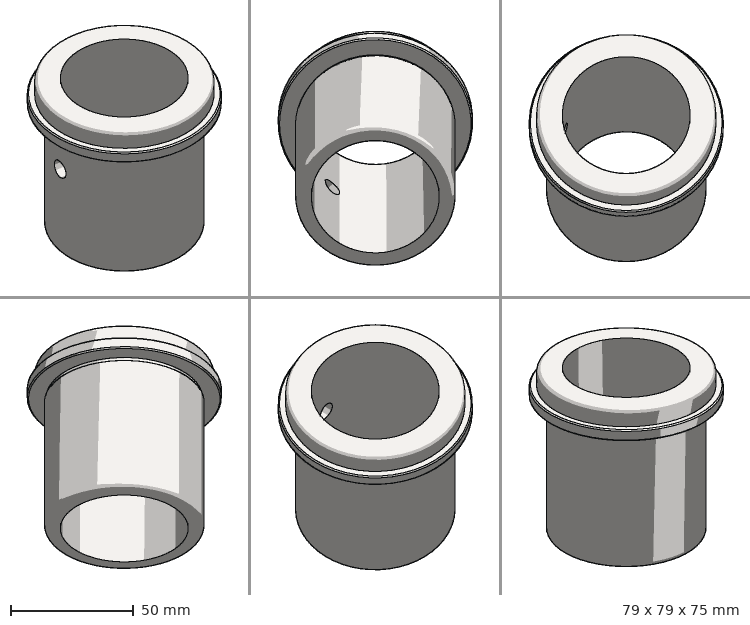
import cadquery as cq

flange_diameter = 79.0
total_height = 75.0
body_diameter = 65.0
head_diameter = 73.0
bore_diameter = 52.0

head_height = 8.0
flange_thickness = 5.1
flange_top = total_height - head_height
flange_bottom = flange_top - flange_thickness

rim_fillet = 2.0
flange_chamfer = 0.55

relief_height = 1.7
relief_depth = 0.8
relief_deepest_height = 1.0
relief_end_depth = 0.55

oil_hole_diameter = 8.0
oil_hole_height = 43.05


def make_body():
    """Revolve the sleeve body with its rounded foot and curved relief groove."""
    radius = body_diameter / 2
    relief_start = flange_bottom - relief_height
    profile = (
        cq.Workplane("XZ")
        .lineTo(radius, 0)
        .lineTo(radius, relief_start)
        .threePointArc(
            (radius - relief_depth, relief_start + relief_deepest_height),
            (radius - relief_end_depth, flange_bottom),
        )
        .lineTo(0, flange_bottom)
        .close()
    )
    body = profile.revolve(360, (0, 0, 0), (0, 1, 0))
    return body.faces("<Z").edges().fillet(rim_fillet)


def make_flange():
    """Make the collar with both outer edges chamfered."""
    collar = cq.Workplane("XY").workplane(offset=flange_bottom)
    return collar.circle(flange_diameter / 2).extrude(flange_thickness).edges().chamfer(flange_chamfer)


def make_head():
    """Make the head above the flange with a rounded top rim."""
    head = cq.Workplane("XY").workplane(offset=flange_top)
    return head.circle(head_diameter / 2).extrude(head_height).faces(">Z").edges().fillet(rim_fillet)


bore = cq.Workplane("XY").circle(bore_diameter / 2).extrude(total_height)

oil_hole = (
    cq.Workplane("XZ")
    .center(0, oil_hole_height)
    .circle(oil_hole_diameter / 2)
    .extrude(body_diameter)
)

result = make_body().union(make_flange()).union(make_head()).cut(bore).cut(oil_hole)